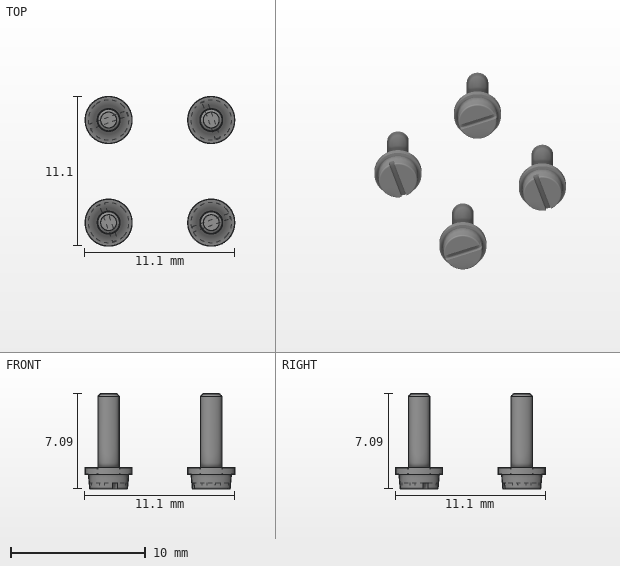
import cadquery as cq

overall_width = 11.12

washer_diameter = 3.5
washer_thickness = 0.5
washer_hole_diameter = 1.7

shank_diameter = 1.6
shank_length = 5.99
tip_chamfer = 0.21
head_height = 1.1
head_diameter = 3.0
head_taper_angle = 5.0
head_edge_fillet = 0.1

slot_width = 0.4
slot_depth = 0.45
slot_angle = 20.0
quarter_turn = 90.0

screw_spacing = overall_width - washer_diameter


def make_head():
    """Cheese head, narrowing downward, with a rounded bottom edge."""
    head = cq.Workplane("XY", origin=(0, 0, head_height)).circle(head_diameter / 2)
    head = head.extrude(-head_height, taper=head_taper_angle)
    return head.faces("<Z").edges().fillet(head_edge_fillet)


def make_shank():
    """Plain cylinder with a chamfered tip, standing on the head."""
    shank = cq.Workplane("XY", origin=(0, 0, head_height)).circle(shank_diameter / 2)
    shank = shank.extrude(shank_length)
    return shank.faces(">Z").edges().chamfer(tip_chamfer)


def make_slot():
    """Cutter for a slot through the full width of the head, along X."""
    return cq.Workplane("XY").rect(head_diameter, slot_width).extrude(slot_depth)


def make_screw(turn):
    """Screw whose slot is turned about Z by the given angle in degrees."""
    screw = make_head().union(make_shank()).cut(make_slot())
    return screw.rotate((0, 0, 0), (0, 0, 1), turn)


def make_washer():
    """Flat washer resting on the upper face of the head."""
    washer = cq.Workplane("XY", origin=(0, 0, head_height)).circle(washer_diameter / 2)
    return washer.circle(washer_hole_diameter / 2).extrude(washer_thickness)


screws = []
washers = []
for x_side in (-1, 1):
    for y_side in (-1, 1):
        turn = slot_angle
        if x_side == y_side:
            turn += quarter_turn
        place = (x_side * screw_spacing / 2, y_side * screw_spacing / 2, 0)
        screws.append(make_screw(turn).translate(place).val())
        washers.append(make_washer().translate(place).val())

result = cq.Compound.makeCompound([*screws, *washers])